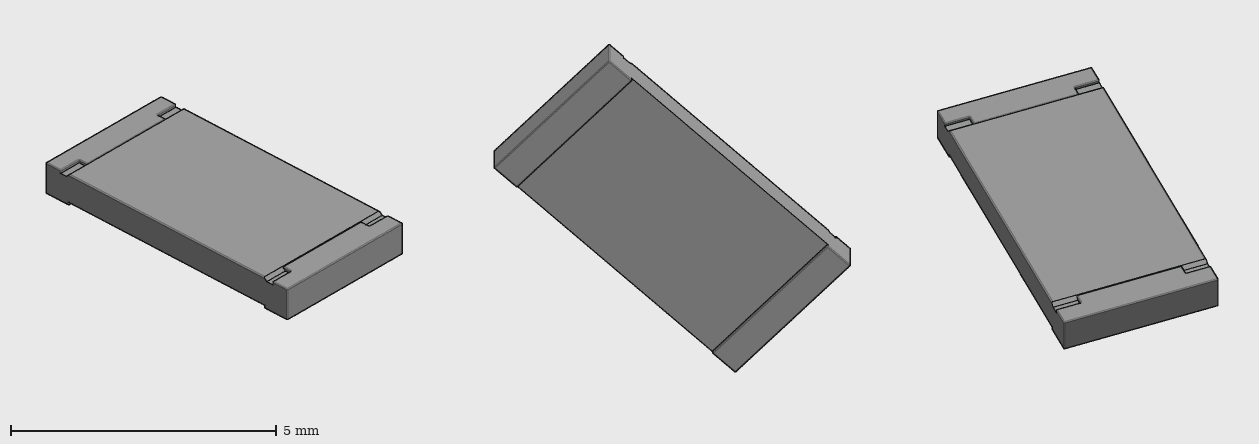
import cadquery as cq

length = 6.3
width = 3.15
height = 0.7

layer = 0.07

edge_radius = 0.02
pad_length = 0.605

notch_start = 0.39
notch_depth = 0.505

coat_foot_inset = 0.535
coat_top_inset = 0.61
coat_edge_radius = 0.025

half_length = length / 2
half_width = width / 2
half_height = height / 2
body_top = half_height - layer


def make_body():
    """Block between the bottom and top layers, with rounded upright corners."""
    return cq.Workplane("XY").box(length, width, 2 * body_top).edges("|Z").fillet(edge_radius)


def make_pad(outline):
    """Raise an outline from the body's top by one layer and round its upright and top edges."""
    return (
        cq.Workplane("XY")
        .workplane(offset=body_top)
        .polyline(outline)
        .close()
        .extrude(layer)
        .edges("|Z")
        .fillet(edge_radius)
        .faces(">Z")
        .edges()
        .fillet(edge_radius)
    )


def make_top_pad():
    """Left top pad, narrowed by a notch at each long side."""
    outer_x = -half_length
    notch_x = notch_start - half_length
    inner_x = pad_length - half_length
    neck_y = half_width - notch_depth
    outline = [
        (outer_x, -half_width),
        (notch_x, -half_width),
        (notch_x, -neck_y),
        (inner_x, -neck_y),
        (inner_x, neck_y),
        (notch_x, neck_y),
        (notch_x, half_width),
        (outer_x, half_width),
    ]
    return make_pad(outline)


def make_bottom_pad():
    """Left bottom pad, a plain strip across the full width."""
    outer_x = -half_length
    inner_x = pad_length - half_length
    outline = [
        (outer_x, -half_width),
        (inner_x, -half_width),
        (inner_x, half_width),
        (outer_x, half_width),
    ]
    return make_pad(outline).mirror("XY")


def make_coat():
    """Coat with a trapezoid profile along X and rounded long top edges."""
    foot_x = half_length - coat_foot_inset
    top_x = half_length - coat_top_inset
    profile = [
        (-foot_x, body_top),
        (foot_x, body_top),
        (top_x, half_height),
        (-top_x, half_height),
    ]
    return (
        cq.Workplane("XZ")
        .polyline(profile)
        .close()
        .extrude(half_width, both=True)
        .edges("|X and >Z")
        .fillet(coat_edge_radius)
    )


result = make_body().union(make_coat())
for left_pad in (make_top_pad(), make_bottom_pad()):
    result = result.union(left_pad).union(left_pad.mirror("YZ"))